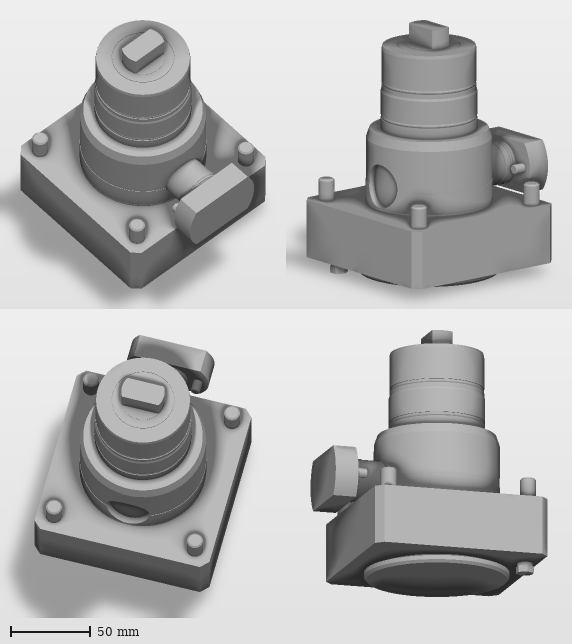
import cadquery as cq
import math

plate_side = 114.0
plate_bottom = 7.0
plate_top = 44.2
plate_corner_chamfer = 5.0

pin_diameter = 10.0
pin_offset = 46.0
pin_top = 57.9
pin_chamfer = 1.0

neck_diameter = 78.0
flange_diameter = 92.0
flange_top = 4.5
flange_chamfer = 1.7

screw_x = -49.0
screw_y = 29.9
screw_width = 10.0
screw_bottom = 0.5
screw_head_top = 4.8

foot_diameter = 80.0
foot_seam_top = 45.6
foot_seam_height = 0.8
foot_seam_depth = 0.5
foot_top = 59.1
body_diameter = 79.5
body_shoulder_diameter = 75.4
body_chamfer_bottom = 86.7
body_top = 92.5

collar_diameter = 61.0
collar_chamfer_bottom = 116.9
collar_top = 118.5
head_diameter = 60.0
head_top = 146.3
head_edge_diameter = 59.1
head_edge_height = 2.0
groove_height = 2.4
groove_depth = 0.6
ridge_width = 0.6
ridge_depth = 0.2
lower_groove_bottom = 99.4
upper_groove_bottom = 121.2

bush_seam_diameter = 39.6
bush_seam_width = 0.3
bush_seam_depth = 0.5
tang_diameter = 27.3
tang_disc_height = 0.24
tang_width = 13.5
tang_edge_chamfer = 0.5
tang_top = 159.0

port_z = 60.4
port_diameter = 28.0
core_diameter = 71.5
stem_diameter = 26.9
sleeve_diameter = 27.7
sleeve_start = 51.2
sleeve_groove_diameter = 27.0
sleeve_groove_start = 55.2
sleeve_groove_width = 0.6
sleeve_groove_pitch = 1.7
sleeve_end = 59.3

handle_start = 60.0
overall_length = 132.0
handle_end = overall_length - plate_side / 2
handle_diameter = 54.0
handle_height = 32.5
handle_pin_diameter = 6.0
handle_pin_offset = 20.0
handle_pin_tip = 52.6
handle_pin_chamfer = 0.5


def disc(diameter, bottom, top):
    """Vertical cylinder on the main axis."""
    return cq.Workplane("XY").workplane(offset=bottom).circle(diameter / 2).extrude(top - bottom)


def rod(diameter, start, end, y=0.0):
    """Cylinder along X at port height."""
    return (
        cq.Workplane("YZ", origin=(start, y, port_z))
        .circle(diameter / 2)
        .extrude(end - start)
    )


def seam_groove(diameter, bottom):
    """Profile points, going up, of a groove filled by a ridge with sloping sides."""
    radius = diameter / 2
    floor = radius - groove_depth
    ridge = radius - ridge_depth
    middle = bottom + groove_height / 2
    return [
        (radius, bottom),
        (floor, bottom),
        (ridge, middle - ridge_width / 2),
        (ridge, middle + ridge_width / 2),
        (floor, bottom + groove_height),
        (radius, bottom + groove_height),
    ]


def base():
    plate = (
        cq.Workplane("XY")
        .workplane(offset=plate_bottom)
        .rect(plate_side, plate_side)
        .extrude(plate_top - plate_bottom)
        .edges("|Z")
        .chamfer(plate_corner_chamfer)
    )
    pins = (
        cq.Workplane("XY")
        .workplane(offset=plate_top)
        .rect(2 * pin_offset, 2 * pin_offset, forConstruction=True)
        .vertices()
        .circle(pin_diameter / 2)
        .extrude(pin_top - plate_top)
        .faces(">Z")
        .edges()
        .chamfer(pin_chamfer)
    )
    flange = disc(flange_diameter, 0, flange_top).faces("<Z").edges().chamfer(flange_chamfer)
    neck = disc(neck_diameter, flange_top, plate_bottom)
    return plate.union(pins).union(neck).union(flange)


def screw():
    hexagon_corners = screw_width / math.cos(math.radians(30))
    head = (
        cq.Workplane("XY", origin=(screw_x, screw_y, screw_bottom))
        .transformed(rotate=(0, 0, 30))
        .polygon(6, hexagon_corners)
        .extrude(screw_head_top - screw_bottom)
    )
    collar = (
        cq.Workplane("XY", origin=(screw_x, screw_y, screw_head_top))
        .circle(screw_width / 2)
        .extrude(plate_bottom - screw_head_top)
    )
    return head.union(collar)


def turned_body():
    foot_radius = foot_diameter / 2
    profile = [
        (0, plate_top),
        (foot_radius, plate_top),
        (foot_radius, foot_seam_top - foot_seam_height),
        (foot_radius - foot_seam_depth, foot_seam_top),
        (foot_radius, foot_seam_top),
        (foot_radius, foot_top),
        (body_diameter / 2, foot_top),
        (body_diameter / 2, body_chamfer_bottom),
        (body_shoulder_diameter / 2, body_top),
        (collar_diameter / 2, body_top),
        *seam_groove(collar_diameter, lower_groove_bottom),
        (collar_diameter / 2, collar_chamfer_bottom),
        (head_diameter / 2, collar_top),
        *seam_groove(head_diameter, upper_groove_bottom),
        (head_diameter / 2, head_top - head_edge_height),
        (head_edge_diameter / 2, head_top),
        (0, head_top),
    ]
    return cq.Workplane("XZ").polyline(profile).close().revolve(360, (0, 0, 0), (0, 1, 0))


def ports():
    """Both side ports, cut from the outside in to the round core."""
    through = rod(port_diameter, -foot_diameter, foot_diameter)
    return through.cut(disc(core_diameter, plate_top, body_top))


def bush_seam():
    """Fine ring groove around the shaft bush in the top face of the head."""
    seam_bottom = head_top - bush_seam_depth
    inner_diameter = bush_seam_diameter - 2 * bush_seam_width
    return disc(bush_seam_diameter, seam_bottom, head_top).cut(disc(inner_diameter, seam_bottom, head_top))


def tang():
    shaft_end = disc(tang_diameter, head_top, head_top + tang_disc_height)
    flats = cq.Workplane("XY").box(tang_width, 2 * tang_diameter, 3 * tang_top)
    blade = disc(tang_diameter, head_top, tang_top).intersect(flats)
    return shaft_end.union(blade.edges("|Z").chamfer(tang_edge_chamfer))


def plug():
    stem = rod(stem_diameter, 0, handle_start)
    sleeve = rod(sleeve_diameter, sleeve_start, sleeve_end)
    for start in (sleeve_groove_start, sleeve_groove_start + sleeve_groove_pitch):
        end = start + sleeve_groove_width
        groove = rod(port_diameter, start, end).cut(rod(sleeve_groove_diameter, start, end))
        sleeve = sleeve.cut(groove)
    return stem.union(sleeve)


def handle():
    thickness = handle_end - handle_start
    flats = cq.Workplane("XY", origin=(handle_start + thickness / 2, 0, port_z)).box(
        2 * thickness, 2 * handle_diameter, handle_height
    )
    grip = rod(handle_diameter, handle_start, handle_end).intersect(flats)
    for side in (-1, 1):
        pin = rod(handle_pin_diameter, handle_pin_tip, handle_start, side * handle_pin_offset)
        grip = grip.union(pin.faces("<X").edges().chamfer(handle_pin_chamfer))
    return grip


result = (
    turned_body()
    .cut(ports())
    .cut(bush_seam())
    .union(base())
    .union(screw())
    .union(tang())
    .union(plug())
    .union(handle())
)